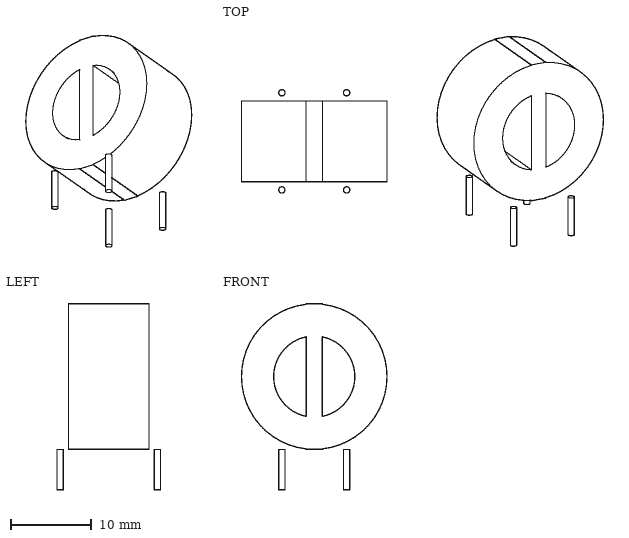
import cadquery as cq

core_diameter = 18.0
bore_diameter = 10.0
core_length = 10.0
divider_thickness = 2.0

pin_diameter = 0.8
pin_length = 5.0
pin_spacing_x = 8.0
pin_spacing_y = 12.0

core_radius = core_diameter / 2


def make_core():
    """Ring centred above the origin and resting on Z = 0, joined to the divider."""
    axis_plane = cq.Workplane(
        cq.Plane(origin=(0, 0, core_radius), xDir=(0, 0, -1), normal=(0, -1, 0))
    )
    ring = (
        axis_plane.circle(core_radius)
        .circle(bore_diameter / 2)
        .extrude(core_length / 2, both=True)
    )
    divider = axis_plane.rect(core_diameter, divider_thickness).extrude(core_length / 2, both=True)
    return ring.union(divider)


def make_pin(x, y):
    """Round pin hanging down from Z = 0."""
    return cq.Workplane("XY").center(x, y).circle(pin_diameter / 2).extrude(-pin_length)


core = make_core()
pins = [
    make_pin(side_x * pin_spacing_x / 2, side_y * pin_spacing_y / 2)
    for side_x in (-1, 1)
    for side_y in (-1, 1)
]

result = cq.Compound.makeCompound([core.val(), *[pin.val() for pin in pins]])